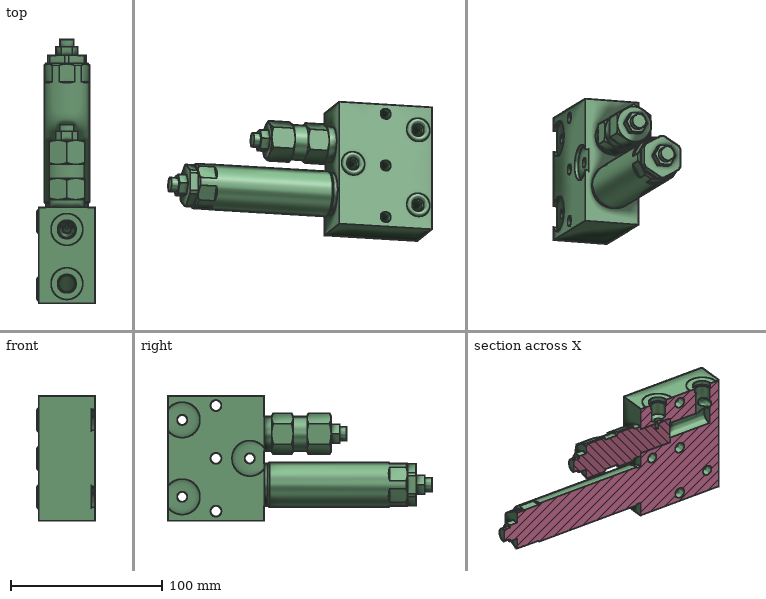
import cadquery as cq
import math

BLOCK_X, BLOCK_Y, BLOCK_Z = 37.3, 63.5, 82.55
OVERALL_LENGTH = 174.51
VALVE_FACE_Y = BLOCK_Y / 2
BLOCK_TOP_Z = BLOCK_Z / 2

MOUNT_HOLE_DIA = 7.0
MOUNT_HOLE_PITCH = 34.9

FACE_PORT_DIA = 6.5
FACE_PORT_Y = 22.3
FACE_PORT_Z = 25.4
FACE_PORTS = [(-FACE_PORT_Y, FACE_PORT_Z), (-FACE_PORT_Y, -FACE_PORT_Z), (FACE_PORT_Y, 0)]
RING_OVERHANG = 1.15
RING_MEAN_RADIUS = 6.1
RING_TUBE_RADIUS = 1.95
RECESS_RADIUS = 11.75
RECESS_DEPTH = 2.5

NEAR_PORT_Y = VALVE_FACE_Y - 14.6
FAR_PORT_Y = -BLOCK_Y / 2 + 13.1
PORT_DIA = 10.8
PORT_CHAMFER = 0.75
PORT_MOUTH_DEPTH = 3.0
SPOTFACE_DIA = 21.0
SPOTFACE_DEPTH = 0.1
NEAR_PORT_DEPTH = 12.7
NEAR_PORT_DRILL_DIA = 5.3
DRILL_POINT_ANGLE = 118

SCREW_DIA = 9.4
LOCKNUT_FLATS = 12.7
LOCKNUT_LENGTH = 5.8

SHORT_VALVE_Z = 16.2
SHORT_NECK_DIA = 23.2
SHORT_HEX_FLATS = 23.6
SHORT_HEXES = [(5.1, 19.2), (28.4, 44.3)]
SHORT_VALVE_LENGTH = 54.5
HEX_CHAMFER_ANGLE = 30
NOSE_DIA = 18.0
NOSE_LENGTH = 24.0
NOSE_HOLE_DIA = 2.1
NOSE_HOLE_Y = NEAR_PORT_Y + 1.5
NOSE_HOLE_DEPTH = 4.0
PASSAGE_DIA = 11.0
PASSAGE_END_Y = FAR_PORT_Y - PASSAGE_DIA / 2

LONG_VALVE_Z = -17.4
LONG_NECK_DIA = 28.2
LONG_NECK_LENGTH = 2.5
SLEEVE_DIA = 30.0
SLEEVE_REAR_CHAMFER = 1.2
SLEEVE_FRONT_CHAMFER = 1.2
SLEEVE_END = 95.0
WRENCH_FLATS = 28.2
WRENCH_FLAT_LENGTH = 12.8
CAP_FLATS = 25.4
CAP_TURNED_DIA = 28.0
CAP_END = 100.4
LONG_VALVE_LENGTH = OVERALL_LENGTH - BLOCK_Y

HEX_SIDES = 6


def hex_corner_dia(flats):
    return flats / math.cos(math.pi / HEX_SIDES)


def along_valve(axis_z, start):
    """Plane facing +Y on a valve axis, at a distance from the block face; local x points along -X."""
    origin = (0, VALVE_FACE_Y + start, axis_z)
    return cq.Workplane(cq.Plane(origin=origin, xDir=(-1, 0, 0), normal=(0, 1, 0)))


def rod(axis_z, start, end, diameter):
    return along_valve(axis_z, start).circle(diameter / 2).extrude(end - start)


def hexagon(axis_z, start, end, flats, corner_up):
    """Hexagonal bar; its corners point along Z if corner_up, otherwise along X."""
    turn = 90 if corner_up else 0
    return (
        along_valve(axis_z, start)
        .transformed(rotate=(0, 0, turn))
        .polygon(HEX_SIDES, hex_corner_dia(flats))
        .extrude(end - start)
    )


def chamfered_hexagon(axis_z, start, end, flats):
    """Hexagonal bar with its corners pointing along Z and turned conical at both ends."""
    radial = (hex_corner_dia(flats) - flats) / 2
    axial = radial * math.tan(math.radians(HEX_CHAMFER_ANGLE))
    envelope = (
        rod(axis_z, start, end, hex_corner_dia(flats))
        .faces("<Y or >Y")
        .chamfer(axial, radial)
    )
    return hexagon(axis_z, start, end, flats, True).intersect(envelope)


def adjusting_screw(axis_z, start, end):
    """Screw standing out of a valve, with its locknut."""
    locknut = hexagon(axis_z, start, start + LOCKNUT_LENGTH, LOCKNUT_FLATS, False)
    return rod(axis_z, start, end, SCREW_DIA).union(locknut)


def short_valve():
    last_hex_end = SHORT_HEXES[-1][1]
    valve = rod(SHORT_VALVE_Z, -NOSE_LENGTH, 0, NOSE_DIA)
    valve = valve.union(rod(SHORT_VALVE_Z, 0, last_hex_end, SHORT_NECK_DIA))
    for start, end in SHORT_HEXES:
        valve = valve.union(chamfered_hexagon(SHORT_VALVE_Z, start, end, SHORT_HEX_FLATS))
    valve = valve.union(adjusting_screw(SHORT_VALVE_Z, last_hex_end, SHORT_VALVE_LENGTH))

    nose_hole = (
        cq.Workplane("XY", origin=(0, NOSE_HOLE_Y, SHORT_VALVE_Z + NOSE_DIA / 2))
        .circle(NOSE_HOLE_DIA / 2)
        .extrude(-NOSE_HOLE_DEPTH)
    )
    return valve.cut(nose_hole)


def wrench_flat_cutters():
    """Six cutters around the sleeve end, one facing +Z; each runs out at 45 degrees."""
    floor = WRENCH_FLATS / 2
    depth = SLEEVE_DIA / 2 - floor
    end_y = VALVE_FACE_Y + SLEEVE_END
    start_y = end_y - WRENCH_FLAT_LENGTH
    cutter = (
        cq.Workplane("YZ")
        .moveTo(start_y, LONG_VALVE_Z + floor + depth)
        .lineTo(start_y + depth, LONG_VALVE_Z + floor)
        .lineTo(end_y, LONG_VALVE_Z + floor)
        .lineTo(end_y, LONG_VALVE_Z + floor + depth)
        .close()
        .extrude(SLEEVE_DIA / 2, both=True)
    )
    axis_start = (0, 0, LONG_VALVE_Z)
    axis_end = (0, 1, LONG_VALVE_Z)
    return [cutter.rotate(axis_start, axis_end, side * 360 / HEX_SIDES) for side in range(HEX_SIDES)]


def long_valve():
    sleeve = (
        rod(LONG_VALVE_Z, LONG_NECK_LENGTH, SLEEVE_END, SLEEVE_DIA)
        .faces(">Y")
        .chamfer(SLEEVE_FRONT_CHAMFER)
        .faces("<Y")
        .chamfer(SLEEVE_REAR_CHAMFER, (SLEEVE_DIA - LONG_NECK_DIA) / 2)
    )
    for cutter in wrench_flat_cutters():
        sleeve = sleeve.cut(cutter)
    cap = hexagon(LONG_VALVE_Z, SLEEVE_END, CAP_END, CAP_FLATS, True)
    cap = cap.intersect(rod(LONG_VALVE_Z, SLEEVE_END, CAP_END, CAP_TURNED_DIA))
    neck = rod(LONG_VALVE_Z, 0, LONG_NECK_LENGTH, LONG_NECK_DIA)
    return neck.union(sleeve).union(cap).union(adjusting_screw(LONG_VALVE_Z, CAP_END, LONG_VALVE_LENGTH))


def top_port(y, depth):
    """Cutter for a threaded port, down from the top face: spotface, wide mouth, cone and bore."""
    mouth_radius = PORT_DIA / 2 + PORT_CHAMFER
    top = cq.Workplane("XY", origin=(0, y, BLOCK_TOP_Z))
    spotface = top.circle(SPOTFACE_DIA / 2).extrude(-SPOTFACE_DEPTH)
    mouth = top.circle(mouth_radius).extrude(-PORT_MOUTH_DEPTH)
    bore = top.circle(PORT_DIA / 2).extrude(-depth)
    cone_top = (0, y, BLOCK_TOP_Z - PORT_MOUTH_DEPTH)
    cone = cq.Solid.makeCone(mouth_radius, PORT_DIA / 2, PORT_CHAMFER, pnt=cone_top, dir=(0, 0, -1))
    return spotface.union(mouth).union(bore).union(cq.Workplane(cone))


def near_port():
    """Port with a drill-point floor and a narrow drilling on to the short valve's nose."""
    port_radius = PORT_DIA / 2
    floor_z = BLOCK_TOP_Z - NEAR_PORT_DEPTH
    point_height = port_radius / math.tan(math.radians(DRILL_POINT_ANGLE / 2))
    point = cq.Solid.makeCone(port_radius, 0, point_height, pnt=(0, NEAR_PORT_Y, floor_z), dir=(0, 0, -1))
    drilling = (
        cq.Workplane("XY", origin=(0, NEAR_PORT_Y, floor_z))
        .circle(NEAR_PORT_DRILL_DIA / 2)
        .extrude(SHORT_VALVE_Z - floor_z)
    )
    return top_port(NEAR_PORT_Y, NEAR_PORT_DEPTH).union(cq.Workplane(point)).union(drilling)


def valve_cavity():
    """Socket for the short valve's nose, and the passage from it to the far port."""
    socket = rod(SHORT_VALVE_Z, -NOSE_LENGTH, 0, NOSE_DIA)
    passage = rod(SHORT_VALVE_Z, PASSAGE_END_Y - VALVE_FACE_Y, -NOSE_LENGTH, PASSAGE_DIA)
    return socket.union(passage)


def sealing_ring(y, z):
    ring_x = -BLOCK_X / 2 - RING_OVERHANG + RING_TUBE_RADIUS
    return cq.Workplane(
        cq.Solid.makeTorus(RING_MEAN_RADIUS, RING_TUBE_RADIUS, pnt=(ring_x, y, z), dir=(1, 0, 0))
    )


def block():
    body = cq.Workplane("XY").box(BLOCK_X, BLOCK_Y, BLOCK_Z)
    left_face = cq.Workplane("YZ", origin=(-BLOCK_X / 2, 0, 0))
    right_face = cq.Workplane("YZ", origin=(BLOCK_X / 2, 0, 0))

    mount_holes = [(0, row * MOUNT_HOLE_PITCH) for row in (-1, 0, 1)]
    body = body.cut(left_face.pushPoints(mount_holes).circle(MOUNT_HOLE_DIA / 2).extrude(BLOCK_X))

    seat_depth = 2 * RING_TUBE_RADIUS - RING_OVERHANG
    body = body.cut(left_face.pushPoints(FACE_PORTS).circle(FACE_PORT_DIA / 2).extrude(BLOCK_X))
    body = body.cut(left_face.pushPoints(FACE_PORTS).circle(RING_MEAN_RADIUS).extrude(seat_depth))
    body = body.cut(right_face.pushPoints(FACE_PORTS).circle(RECESS_RADIUS).extrude(-RECESS_DEPTH))
    for y, z in FACE_PORTS:
        body = body.union(sealing_ring(y, z))

    body = body.cut(near_port())
    body = body.cut(top_port(FAR_PORT_Y, BLOCK_TOP_Z - SHORT_VALVE_Z))
    return body.cut(valve_cavity())


valve_block = block().union(long_valve())
screw_in_valve = short_valve()

result = cq.Compound.makeCompound([valve_block.val(), screw_in_valve.val()])